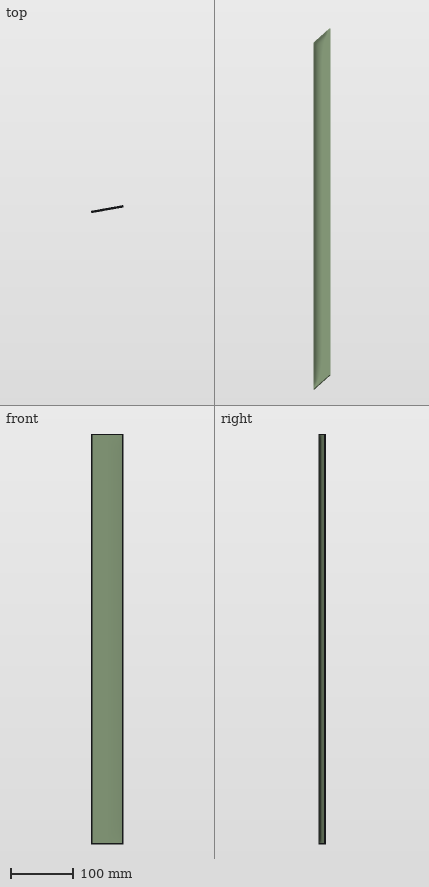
import cadquery as cq

height = 656.0
width = 50.72
thickness = 2.0
turn_angle = 10.12


def make_slat():
    """Upright rectangular plate, centred on the Z axis with its foot at Z = 0."""
    return cq.Workplane("XY").rect(width, thickness).extrude(height)


result = make_slat().rotate((0, 0, 0), (0, 0, 1), turn_angle)